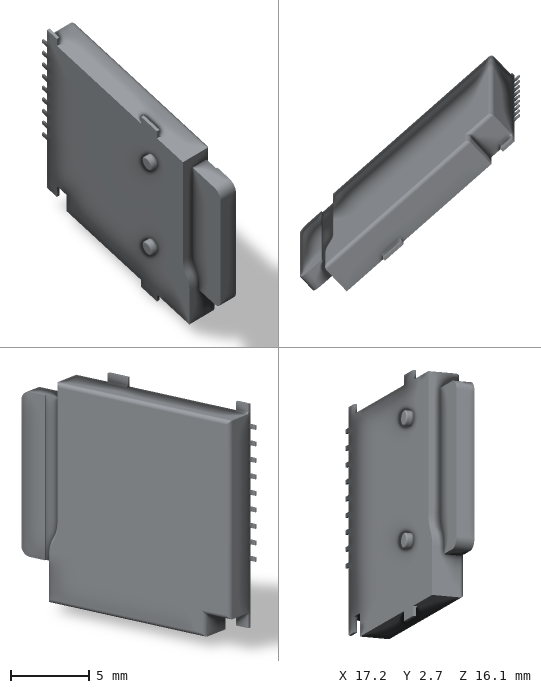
import cadquery as cq


body_left = 0.5
body_right = 14.35
lower_body_right = 15.0
body_height = 14.8
body_depth = 2.2
back_edge_radius = 0.28

curve_bottom = 3.27
curve_height = 2.2

notch_right = 2.5
notch_height = 1.53

tab_thickness = 0.2
tab_bend_radius = 0.15
tab_reach = 0.65
end_tab_width = 1.0
middle_tab_left = 10.1
middle_tab_width = 1.6
notch_tab_bottom = 0.5

pin_count = 9
pin_pitch = 1.1
pin_width = 0.3
pin_thickness = 0.12
first_pin_height = 5.15

peg_x = 11.3
peg_heights = (4.33, 12.35)
peg_diameter = 1.0
peg_length = 0.5
peg_tip_radius = 0.1

card_right = 17.2
card_bottom = 2.73
card_width = 11.0
card_front = 0.79
card_back = 2.03
card_corner_radius = 0.67
card_lip_left = 15.33
card_lip_height = 0.1

joint_overlap = 0.17


def box(x_range, y_range, z_range):
    """Box spanning the given (low, high) ranges."""
    lows, highs = zip(x_range, y_range, z_range)
    sizes = [high - low for low, high in zip(lows, highs)]
    return cq.Workplane("XY").box(*sizes, centered=False).translate(lows)


def make_housing():
    """Housing with the corner notch, the curved right wall and a rounded back."""
    wall_step = lower_body_right - body_right
    curve_radius = (wall_step**2 + curve_height**2) / (4 * wall_step)
    curve_middle = ((body_right + lower_body_right) / 2, curve_bottom + curve_height / 2)
    outline = (
        cq.Workplane("XZ")
        .moveTo(notch_right, 0)
        .lineTo(lower_body_right, 0)
        .lineTo(lower_body_right, curve_bottom)
        .radiusArc(curve_middle, -curve_radius)
        .radiusArc((body_right, curve_bottom + curve_height), curve_radius)
        .lineTo(body_right, body_height)
        .lineTo(body_left, body_height)
        .lineTo(body_left, notch_height)
        .lineTo(notch_right, notch_height)
        .close()
    )
    return outline.extrude(-body_depth).faces(">Y").edges().fillet(back_edge_radius)


def make_tab(left, width, wall, tip):
    """Flat tab from a housing wall to its tip, with an inside bend radius at the wall."""
    outward = 1 if tip > wall else -1
    bend_end = wall + outward * tab_bend_radius
    bend_back = tab_thickness + tab_bend_radius
    inside = wall - outward * tab_thickness
    return (
        cq.Workplane("YZ", origin=(left, 0, 0))
        .moveTo(0, inside)
        .lineTo(0, tip)
        .lineTo(tab_thickness, tip)
        .lineTo(tab_thickness, bend_end)
        .radiusArc((bend_back, wall), -outward * tab_bend_radius)
        .lineTo(bend_back, inside)
        .close()
        .extrude(width)
    )


def make_pins():
    """Row of solder pins along the left wall."""
    pins = cq.Workplane("XY")
    for index in range(pin_count):
        bottom = first_pin_height + index * pin_pitch - pin_width / 2
        z_range = (bottom, bottom + pin_width)
        pins = pins.add(box((0, body_left + joint_overlap), (0, pin_thickness), z_range))
    return pins.combine()


def make_pegs():
    """Two locating pegs with rounded tips on the mounting face."""
    return (
        cq.Workplane("XZ")
        .pushPoints([(peg_x, height) for height in peg_heights])
        .circle(peg_diameter / 2)
        .extrude(peg_length)
        .faces("<Y")
        .fillet(peg_tip_radius)
    )


def make_card():
    """Projecting end of the card, with a raised lip on its back."""
    z_range = (card_bottom, card_bottom + card_width)
    lip_base = card_back - card_lip_height
    root = box((body_right - joint_overlap, card_right), (card_front, lip_base), z_range)
    lip = box((card_lip_left, card_right), (lip_base, card_back), z_range)
    return root.union(lip).edges("|Y and >X").fillet(card_corner_radius)


result = make_housing()
middle_tab = (middle_tab_left, middle_tab_width)
end_tab = (body_left, end_tab_width)
tab_top = body_height + tab_reach
for (left, width), wall, tip in (
    (end_tab, body_height, tab_top),
    (end_tab, notch_height, notch_tab_bottom),
    (middle_tab, body_height, tab_top),
    (middle_tab, 0, -tab_reach),
):
    result = result.union(make_tab(left, width, wall, tip))
result = result.union(make_pins()).union(make_pegs()).union(make_card())